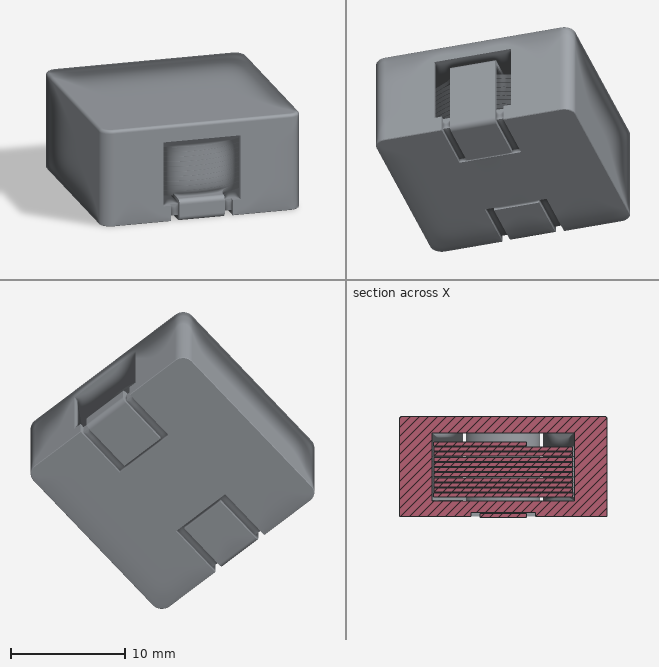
import cadquery as cq
import math

overall_length = 18.3
body_side = 18.2
overall_height = 8.9
foot_standoff = 0.07
corner_radius = 1.05
top_edge_radius = 0.3
bottom_edge_chamfer = 0.05
half_side = body_side / 2

chamber_floor = 1.5
chamber_ceiling = 7.4
chamber_height = chamber_ceiling - chamber_floor
chamber_radius = 7.55
window_width = 6.99
jamb_depth = 0.37

slot_width = 5.64
slot_depth = 0.4
foot_groove_height = 0.45
foot_groove_length = 5.3

post_diameter = 6.5
wire_thickness = 0.4
coil_radius = 7.5
turn_count = 10
coil_bottom = 1.78
coil_top = 6.25
turn_pitch = (coil_top - coil_bottom) / turn_count

terminal_width = 4.14
terminal_bend_radius = 0.44
foot_length = 5.03
lead_fillet_radius = 2.18
half_length = overall_length / 2
half_terminal = terminal_width / 2
upper_lead_bottom = coil_top
lower_lead_bottom = 1.55


def box_between(x0, x1, width, z0, z1):
    """Box from x0 to x1 and z0 to z1, centred on the XZ plane."""
    return (
        cq.Workplane("XY", origin=(x0, -width / 2, z0))
        .box(x1 - x0, width, z1 - z0, centered=False)
    )


def disc(radius, bottom, height):
    """Upright cylinder on the Z axis."""
    return cq.Workplane("XY", origin=(0, 0, bottom)).circle(radius).extrude(height)


def both_ends(shape):
    """The shape together with its mirror image at the +X end."""
    return shape.union(shape.mirror("YZ"))


def make_housing():
    block = (
        cq.Workplane("XY", origin=(0, 0, foot_standoff))
        .rect(body_side, body_side)
        .extrude(overall_height - foot_standoff)
        .edges("|Z").fillet(corner_radius)
        .faces(">Z").edges().fillet(top_edge_radius)
        .faces("<Z").edges().chamfer(bottom_edge_chamfer)
    )
    return block.cut(make_chamber()).cut(both_ends(make_terminal_recess()))


def make_chamber():
    """Round chamber with a window at each X end, the window walls widening inward."""
    half_window = window_width / 2
    jamb_end = half_side - jamb_depth

    jamb_angle = math.atan2(half_window, jamb_end)
    touch_angle = jamb_angle + math.acos(chamber_radius / math.hypot(half_window, jamb_end))
    touch_x = chamber_radius * math.cos(touch_angle)
    touch_y = chamber_radius * math.sin(touch_angle)

    window = (
        cq.Workplane("XY", origin=(0, 0, chamber_floor))
        .polyline([
            (-half_side, half_window),
            (-jamb_end, half_window),
            (-touch_x, touch_y),
            (0, 0),
            (-touch_x, -touch_y),
            (-jamb_end, -half_window),
            (-half_side, -half_window),
        ])
        .close()
        .extrude(chamber_height)
    )
    round_chamber = disc(chamber_radius, chamber_floor, chamber_height)
    return round_chamber.union(both_ends(window))


def make_terminal_recess():
    """Slot below the -X window and groove for the foot under the housing."""
    slot = box_between(-half_side, -half_side + slot_depth, slot_width, 0, chamber_floor)
    groove = box_between(-half_side, -half_side + foot_groove_length, slot_width, 0, foot_groove_height)
    return slot.union(groove)


def make_winding():
    """Centre post carrying the flat turns, one above the other."""
    winding = disc(post_diameter / 2, chamber_floor, chamber_height)
    for turn in range(turn_count):
        turn_bottom = coil_bottom + turn * turn_pitch
        winding = winding.union(disc(coil_radius, turn_bottom, wire_thickness))
    return winding


def make_lead(lead_bottom):
    """Last quarter turn on the +Y side, running out into the -X terminal."""
    diagonal = coil_radius * math.sqrt(0.5)
    quarter_turn = (
        cq.Workplane("XY", origin=(0, 0, lead_bottom))
        .lineTo(0, coil_radius)
        .threePointArc((-diagonal, diagonal), (-coil_radius, 0))
        .close()
        .extrude(wire_thickness)
    )
    strip_end = half_length - terminal_bend_radius
    strip = box_between(-strip_end, 0, terminal_width, lead_bottom, lead_bottom + wire_thickness)

    fillet_y = half_terminal + lead_fillet_radius
    centre_distance = coil_radius + lead_fillet_radius
    fillet_x = -math.sqrt(centre_distance**2 - fillet_y**2)
    touch_scale = coil_radius / centre_distance
    touch_point = (fillet_x * touch_scale, fillet_y * touch_scale)
    web = (
        cq.Workplane("XY", origin=(0, 0, lead_bottom))
        .polyline([(fillet_x, 0), (fillet_x, fillet_y), touch_point, (0, 0)])
        .close()
        .extrude(wire_thickness)
    )
    fillet_round = (
        cq.Workplane("XY", origin=(fillet_x, fillet_y, lead_bottom))
        .circle(lead_fillet_radius)
        .extrude(wire_thickness)
    )
    return quarter_turn.union(strip).union(web.cut(fillet_round))


def make_terminal(lead_bottom):
    """Bent strip at the -X end: lead, upright and foot."""
    lead_top = lead_bottom + wire_thickness
    foot_end = -half_side + foot_length
    outer = box_between(-half_length, foot_end, terminal_width, 0, lead_top)
    outer = outer.edges("|Y and <X").fillet(terminal_bend_radius)
    inner = box_between(-half_length + wire_thickness, foot_end, terminal_width, wire_thickness, lead_bottom)
    inner = inner.edges("|Y and <X").fillet(terminal_bend_radius - wire_thickness)
    return outer.cut(inner).union(make_lead(lead_bottom))


upper_terminal = make_terminal(upper_lead_bottom)
lower_terminal = make_terminal(lower_lead_bottom).mirror("YZ")

result = make_housing().union(make_winding()).union(upper_terminal).union(lower_terminal).solids()